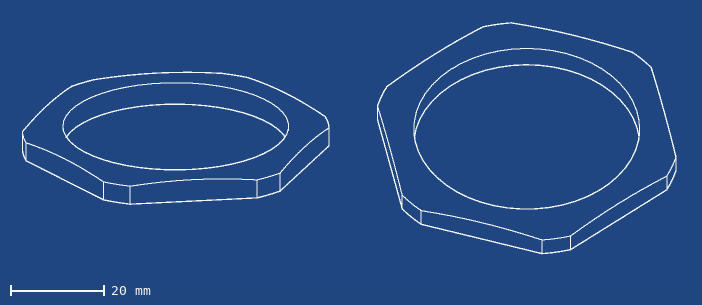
import cadquery as cq
import math

corner_diameter = 66.0
across_flats = 60.0
bore_diameter = 48.5
thickness = 5.0
chamfer_angle = 15.0

corner_radius = corner_diameter / 2
flat_radius = across_flats / 2
chamfer_drop = (corner_radius - flat_radius) * math.tan(math.radians(chamfer_angle))


def hexagon_prism():
    """Hexagon with corners on the X axis and flats facing +Y and -Y."""
    across_corners = across_flats / math.cos(math.pi / 6)
    return cq.Workplane("XY").polygon(6, across_corners).extrude(thickness)


def turned_blank():
    """Disc whose top edge is a shallow cone starting at the flats' inscribed circle."""
    half_section = [
        (0, 0),
        (corner_radius, 0),
        (corner_radius, thickness - chamfer_drop),
        (flat_radius, thickness),
        (0, thickness),
    ]
    return cq.Workplane("XZ").polyline(half_section).close().revolve(360, (0, 0), (0, 1))


def bore():
    return cq.Workplane("XY").circle(bore_diameter / 2).extrude(thickness)


result = hexagon_prism().intersect(turned_blank()).cut(bore())